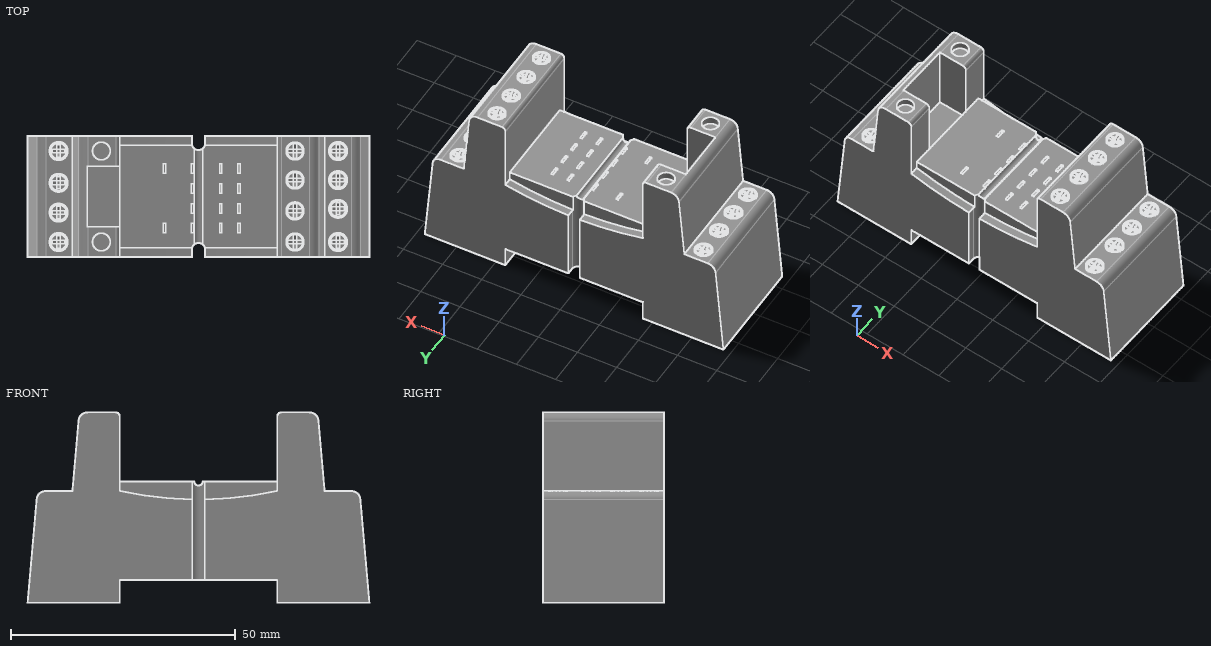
import cadquery as cq
import math

LENGTH = 76.3
WIDTH = 27.0
HEIGHT = 42.5
SHOULDER_Z = 24.95
FLOOR_Z = 27.1
FOOT_HEIGHT = 5.0
INNER_HALF = 17.55
STEP_HALF = 28.15
WALL_DRAFT = math.tan(math.radians(5.0))
OUTER_ROUND = 2.05
INNER_ROUND = 0.9
PICK_MARGIN = 0.1

LEDGE_WIDTH = 2.05
LEDGE_MID_Z = 23.05
GROOVE_WIDTH = 2.9
GROOVE_DEPTH = 3.1
TOP_GROOVE_RADIUS = 0.9

GAP_WIDTH = 13.6
GAP_LEFT_X = -24.8
HOLE_X = -21.7
HOLE_DIAMETER = 4.0
HOLE_DEPTH = 2.0
END_ROW_Y = 10.15

HEAD_DIAMETER = 3.5
RECESS_DEPTH = 0.4
LOW_SCREW = dict(top_z=SHOULDER_Z, recess=4.1, cross_length=2.75, cross_width=0.85, cross_depth=0.8)
HIGH_SCREW = dict(top_z=HEIGHT, recess=4.0, cross_length=3.2, cross_width=0.85, cross_depth=1.0)
LEFT_LOW_X = -31.2
RIGHT_HIGH_X = 21.5
RIGHT_LOW_X = 31.1
LEFT_LOW_Y = (-END_ROW_Y, -3.6, 3.05, END_ROW_Y)
RIGHT_HIGH_Y = (-END_ROW_Y, -3.2, 3.7, END_ROW_Y)
RIGHT_LOW_Y = (-END_ROW_Y, -2.75, 3.7, END_ROW_Y)

SLOT_LENGTH = 2.1
SLOT_WIDTH = 0.5
SLOT_DEPTH = 2.3
SLOT_Y = (-7.0, -2.7, 1.75, 6.25)
FULL_SLOT_COLUMNS_X = (-1.3, 4.95, 9.0)
END_SLOT_COLUMN_X = -7.55


def far_side_plane():
    """XZ sketch plane on the +Y side; extrusions run from it toward -Y."""
    return cq.Workplane("XZ", origin=(0, WIDTH / 2, 0))


def make_body():
    """Side outline with drafted outer walls, extruded over the width."""
    shoulder_half = LENGTH / 2 - SHOULDER_Z * WALL_DRAFT
    tower_half = STEP_HALF - (HEIGHT - SHOULDER_Z) * WALL_DRAFT
    right_side = [
        (INNER_HALF, FOOT_HEIGHT),
        (INNER_HALF, 0),
        (LENGTH / 2, 0),
        (shoulder_half, SHOULDER_Z),
        (STEP_HALF, SHOULDER_Z),
        (tower_half, HEIGHT),
        (INNER_HALF, HEIGHT),
        (INNER_HALF, FLOOR_Z),
    ]
    left_side = [(-x, z) for x, z in reversed(right_side)]
    body = far_side_plane().polyline(right_side + left_side).close().extrude(WIDTH)

    def edges_at(x, z):
        low = (x - PICK_MARGIN, -WIDTH, z - PICK_MARGIN)
        high = (x + PICK_MARGIN, WIDTH, z + PICK_MARGIN)
        corner = cq.selectors.BoxSelector(low, high)
        return body.edges(corner)

    for side in (-1, 1):
        body = edges_at(side * shoulder_half, SHOULDER_Z).fillet(OUTER_ROUND)
        body = edges_at(side * tower_half, HEIGHT).fillet(OUTER_ROUND)
        body = edges_at(side * INNER_HALF, HEIGHT).fillet(INNER_ROUND)
    return body


def ledge_cut(side):
    """Space above the sagging ledge on one long side."""
    cut = (
        cq.Workplane("XZ")
        .moveTo(-INNER_HALF, HEIGHT)
        .lineTo(-INNER_HALF, SHOULDER_Z)
        .threePointArc((0, LEDGE_MID_Z), (INNER_HALF, SHOULDER_Z))
        .lineTo(INNER_HALF, HEIGHT)
        .close()
        .extrude(LEDGE_WIDTH / 2, both=True)
    )
    return cut.translate((0, side * (WIDTH - LEDGE_WIDTH) / 2, 0))


def side_groove(side):
    """Upright round-bottomed groove at mid-length of one long side."""
    return (
        cq.Workplane("XY")
        .center(0, side * WIDTH / 2)
        .slot2D(2 * GROOVE_DEPTH, GROOVE_WIDTH, 90)
        .extrude(HEIGHT)
    )


def top_groove():
    return (
        far_side_plane()
        .center(0, FLOOR_Z)
        .circle(TOP_GROOVE_RADIUS)
        .extrude(WIDTH)
    )


def contact_slots():
    end_slots = [(END_SLOT_COLUMN_X, y) for y in (SLOT_Y[0], SLOT_Y[-1])]
    full_columns = [(x, y) for x in FULL_SLOT_COLUMNS_X for y in SLOT_Y]
    return (
        cq.Workplane("XY", origin=(0, 0, FLOOR_Z - SLOT_DEPTH))
        .pushPoints(end_slots + full_columns)
        .rect(SLOT_WIDTH, SLOT_LENGTH)
        .extrude(SLOT_DEPTH + TOP_GROOVE_RADIUS)
    )


def tower_gap():
    """Gap through the middle of the left tower, down to the shoulder level."""
    length = -INNER_HALF - GAP_LEFT_X
    return (
        cq.Workplane("XY", origin=(GAP_LEFT_X + length / 2, 0, SHOULDER_Z))
        .rect(length, GAP_WIDTH)
        .extrude(HEIGHT - SHOULDER_Z)
    )


def tower_holes():
    return (
        cq.Workplane("XY", origin=(0, 0, HEIGHT - HOLE_DEPTH))
        .pushPoints([(HOLE_X, -END_ROW_Y), (HOLE_X, END_ROW_Y)])
        .circle(HOLE_DIAMETER / 2)
        .extrude(HOLE_DEPTH)
    )


def screw_cut(top_z, recess, cross_length, cross_width, cross_depth):
    """Ring around a flush screw head plus a cross whose arms slope down to the centre."""
    ring = (
        cq.Workplane("XY", origin=(0, 0, -RECESS_DEPTH))
        .circle(recess / 2)
        .circle(HEAD_DIAMETER / 2)
        .extrude(RECESS_DEPTH)
    )
    arm_x = (
        cq.Workplane("XZ")
        .polyline([
            (-cross_length / 2, 0),
            (-cross_width / 2, -cross_depth),
            (cross_width / 2, -cross_depth),
            (cross_length / 2, 0),
        ])
        .close()
        .extrude(cross_width / 2, both=True)
    )
    arm_y = arm_x.rotate((0, 0, 0), (0, 0, 1), 90)
    return ring.union(arm_x).union(arm_y).translate((0, 0, top_z))


result = make_body()
for side in (-1, 1):
    result = result.cut(ledge_cut(side)).cut(side_groove(side))
for make_cutter in (top_groove, contact_slots, tower_gap, tower_holes):
    result = result.cut(make_cutter())

screw_rows = [
    (LEFT_LOW_X, LEFT_LOW_Y, LOW_SCREW),
    (RIGHT_HIGH_X, RIGHT_HIGH_Y, HIGH_SCREW),
    (RIGHT_LOW_X, RIGHT_LOW_Y, LOW_SCREW),
]
for row_x, row_y, screw in screw_rows:
    cutter = screw_cut(**screw)
    for y in row_y:
        result = result.cut(cutter.translate((row_x, y, 0)))